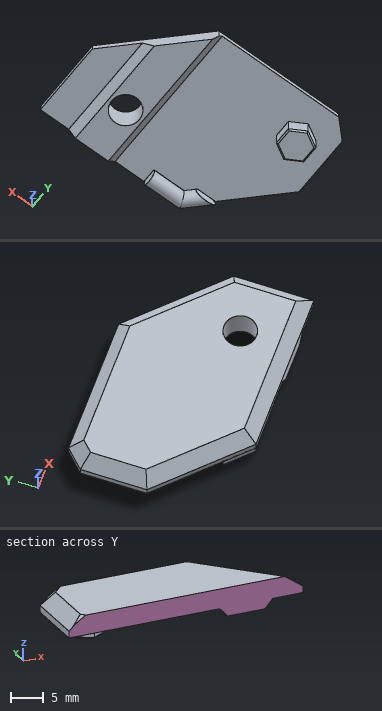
import cadquery as cq
import math

plate_length = 40.1
plate_width = 27.0
plate_thickness = 3.4
bevel = 2.2
side_height = plate_thickness - bevel
front_left_cut = 13.15
back_right_cut = 13.9
back_left_cut = 3.0

rib_center_x = 30.1
rib_height = 1.5
rib_base_width = 9.0
rib_tip_width = 6.4
rib_overhang = 0.05

hole_diameter = 5.3
hole_y = 8.5

peg_x = 6.0
peg_y = 20.15
peg_across_flats = 5.3
peg_height = 2.8
peg_chamfer = 0.25

bar_diameter = 2.7
bar_radius = bar_diameter / 2
bar_drop = 2.05
bar_axis_z = bar_radius - bar_drop
bar_end_x = 20.0
bar_end_y = 4.0


def plate_outline():
    return (
        cq.Workplane("XY")
        .moveTo(front_left_cut, 0)
        .lineTo(plate_length, 0)
        .lineTo(plate_length, plate_width - back_right_cut)
        .lineTo(plate_length - back_right_cut, plate_width)
        .lineTo(back_left_cut, plate_width)
        .lineTo(0, plate_width - back_left_cut)
        .lineTo(0, front_left_cut)
        .close()
    )


def lean_at(z):
    """Distance by which the leaning front face stands out in front of Y = 0 at height z."""
    return rib_overhang * (side_height - z) / (side_height + rib_height)


def make_plate():
    plate = plate_outline().extrude(plate_thickness).faces(">Z").chamfer(bevel)
    front_wedge = (
        cq.Workplane("YZ", origin=(front_left_cut, 0, 0))
        .moveTo(0, side_height)
        .lineTo(-lean_at(0), 0)
        .lineTo(0, 0)
        .close()
        .extrude(plate_length - front_left_cut)
    )
    return plate.union(front_wedge)


def make_rib():
    half_base = rib_base_width / 2
    half_tip = rib_tip_width / 2
    rib = (
        cq.Workplane("XZ", origin=(rib_center_x, -rib_overhang, 0))
        .moveTo(-half_base, 0)
        .lineTo(half_base, 0)
        .lineTo(half_tip, -rib_height)
        .lineTo(-half_tip, -rib_height)
        .close()
        .extrude(-(plate_width + rib_overhang))
    )
    side = (
        cq.Workplane("YZ")
        .moveTo(-lean_at(0), 0)
        .lineTo(-lean_at(-rib_height), -rib_height)
        .lineTo(plate_width, -rib_height)
        .lineTo(plate_width, 0)
        .close()
        .extrude(plate_length)
    )
    beyond_cut = (
        cq.Workplane("XY")
        .moveTo(plate_length, plate_width - back_right_cut)
        .lineTo(plate_length, plate_width)
        .lineTo(plate_length - back_right_cut, plate_width)
        .close()
        .extrude(-rib_height)
    )
    return rib.intersect(side).cut(beyond_cut)


def make_peg():
    across_corners = peg_across_flats / math.cos(math.pi / 6)
    return (
        cq.Workplane("XY", origin=(peg_x, peg_y, 0))
        .transformed(rotate=(0, 0, 90))
        .polygon(6, across_corners)
        .extrude(-peg_height)
        .faces("<Z")
        .chamfer(peg_chamfer)
    )


def make_bar():
    bend_x = front_left_cut + bar_radius * math.tan(math.pi / 8)
    start_y = bar_end_y + bar_diameter
    start_x = bend_x - (start_y - bar_radius)
    path = (
        cq.Workplane("XY", origin=(0, 0, bar_axis_z))
        .moveTo(bar_end_x, bar_radius)
        .lineTo(bend_x, bar_radius)
        .lineTo(start_x, start_y)
    )
    bar = (
        cq.Workplane("YZ", origin=(bar_end_x, bar_radius, bar_axis_z))
        .circle(bar_radius)
        .sweep(path, transition="right")
    )
    trim = (
        cq.Workplane("XY")
        .box(plate_length, bar_end_y, 2 * bar_diameter, centered=(False, False, True))
    )
    return bar.intersect(trim)


def make_hole():
    depth = plate_thickness + rib_height
    return (
        cq.Workplane("XY", origin=(rib_center_x, hole_y, -rib_height))
        .circle(hole_diameter / 2)
        .extrude(depth)
    )


result = make_plate().union(make_rib()).union(make_peg()).union(make_bar()).cut(make_hole()).clean()